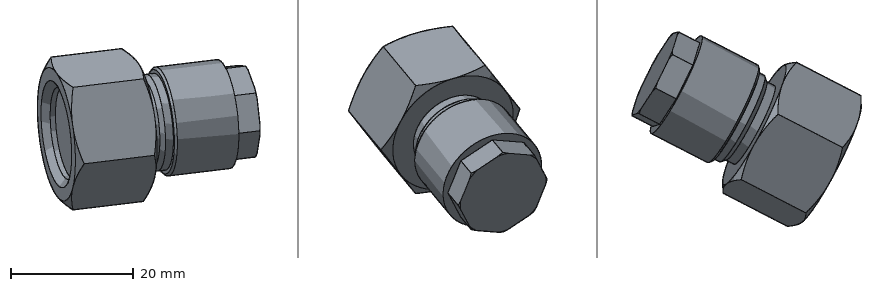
import cadquery as cq
import math

total_length = 32.5

nut_across_flats = 22.0
nut_length = 13.98
nut_chamfer_angle = 30.0

neck_radius = 7.25
collar_radius = 8.0
collar_end = 17.6
collar_chamfer_start = 15.55
barrel_radius = 9.0
barrel_chamfer = 0.4
barrel_end = 28.5

octagon_corner_radius = 8.12
octagon_face_radius = 7.8
octagon_chamfer_angle = 30.0

mouth_radius = 8.85
bore_radius = 7.65
mouth_depth = 1.2
bore_depth = 2.1


def revolve_profile(points):
    """Revolve (radius, Y) points around the Y axis."""
    return cq.Workplane("XY").polyline(points).close().revolve(360, (0, 0), (0, 1))


def prism(sides, corner_radius, start, end):
    """Polygonal prism along Y with a corner on the X axis."""
    return (
        cq.Workplane("XZ", origin=(0, start, 0))
        .polygon(sides, 2 * corner_radius)
        .extrude(start - end)
    )


def make_nut():
    """Hexagon with its corners turned off conically at both ends."""
    corner_radius = nut_across_flats / math.sqrt(3)
    face_radius = nut_across_flats / 2
    chamfer_height = (corner_radius - face_radius) * math.tan(math.radians(nut_chamfer_angle))
    envelope = revolve_profile([
        (0, 0),
        (face_radius, 0),
        (corner_radius, chamfer_height),
        (corner_radius, nut_length - chamfer_height),
        (face_radius, nut_length),
        (0, nut_length),
    ])
    return prism(6, corner_radius, 0, nut_length).intersect(envelope)


def make_turned_body():
    """Neck, bevelled collar and barrel."""
    collar_start = collar_chamfer_start + collar_radius - neck_radius
    return revolve_profile([
        (0, nut_length),
        (neck_radius, nut_length),
        (neck_radius, collar_chamfer_start),
        (collar_radius, collar_start),
        (collar_radius, collar_end),
        (barrel_radius - barrel_chamfer, collar_end),
        (barrel_radius, collar_end + barrel_chamfer),
        (barrel_radius, barrel_end),
        (0, barrel_end),
    ])


def make_octagon():
    """Octagonal end with its outer corners lightly turned off."""
    chamfer_width = octagon_corner_radius - octagon_face_radius
    chamfer_height = chamfer_width * math.tan(math.radians(octagon_chamfer_angle))
    envelope = revolve_profile([
        (0, barrel_end),
        (octagon_corner_radius, barrel_end),
        (octagon_corner_radius, total_length - chamfer_height),
        (octagon_face_radius, total_length),
        (0, total_length),
    ])
    return prism(8, octagon_corner_radius, barrel_end, total_length).intersect(envelope)


def make_bore():
    """Conical mouth leading into a flat-bottomed bore."""
    return revolve_profile([
        (0, 0),
        (mouth_radius, 0),
        (bore_radius, mouth_depth),
        (bore_radius, bore_depth),
        (0, bore_depth),
    ])


result = make_nut().union(make_turned_body()).union(make_octagon()).cut(make_bore())